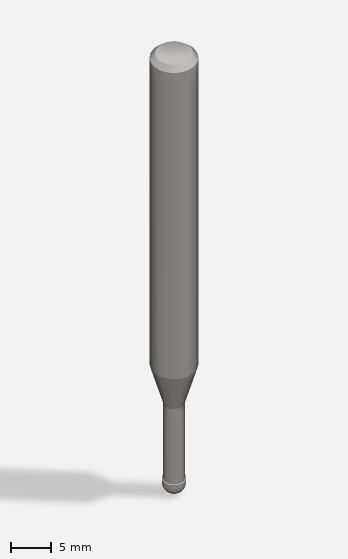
import cadquery as cq

total_length = 70.0
shank_diameter = 6.0
neck_diameter = 2.65
ball_diameter = 3.0

head_top = 1.95
collar_top = 2.2
neck_top = 14.2
taper_top = 20.4

shank_chamfer = 0.7

shank_radius = shank_diameter / 2
neck_radius = neck_diameter / 2
ball_radius = ball_diameter / 2


def make_shank():
    """Chamfered shank that tapers down to a slender neck, ending in a thin collar."""
    return (
        cq.Workplane("XZ")
        .moveTo(0, head_top)
        .lineTo(ball_radius, head_top)
        .lineTo(ball_radius, collar_top)
        .lineTo(neck_radius, collar_top)
        .lineTo(neck_radius, neck_top)
        .lineTo(shank_radius, taper_top)
        .lineTo(shank_radius, total_length - shank_chamfer)
        .lineTo(shank_radius - shank_chamfer, total_length)
        .lineTo(0, total_length)
        .close()
        .revolve(360, (0, 0, 0), (0, 1, 0))
    )


def make_cutting_head():
    """Hemispherical tip with a short cylindrical land that meets the collar."""
    equator_point = (ball_radius, ball_radius)
    arc_middle = (ball_radius * 0.5 ** 0.5, ball_radius * (1 - 0.5 ** 0.5))
    return (
        cq.Workplane("XZ")
        .moveTo(0, 0)
        .threePointArc(arc_middle, equator_point)
        .lineTo(ball_radius, head_top)
        .lineTo(0, head_top)
        .close()
        .revolve(360, (0, 0, 0), (0, 1, 0))
    )


shank = make_shank()
cutting_head = make_cutting_head()

result = cq.Compound.makeCompound([shank.val(), cutting_head.val()])